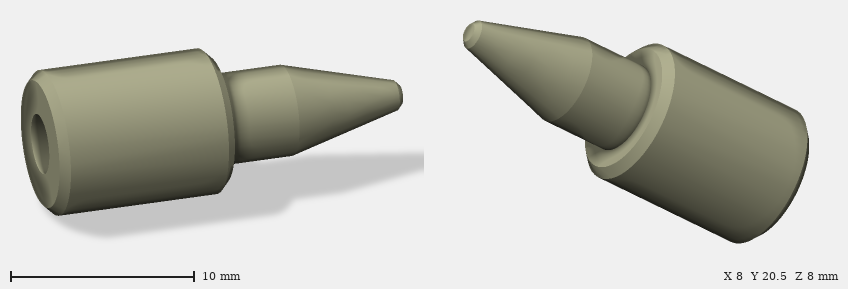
import cadquery as cq
import math

total_length = 20.53
head_diameter = 8.0
head_length = 10.0
head_chamfer = 0.5
shank_diameter = 5.0
shank_length = 4.0
taper_half_angle = 15.0
tip_length = 0.29
tip_flat_diameter = 1.07
hole_diameter = 3.3
hole_depth = 8.0
drill_point_angle = 118.0

head_radius = head_diameter / 2
shank_radius = shank_diameter / 2
hole_radius = hole_diameter / 2
shank_end = head_length + shank_length
taper_end = total_length - tip_length
taper_end_radius = shank_radius - (taper_end - shank_end) * math.tan(math.radians(taper_half_angle))
drill_point_length = hole_radius / math.tan(math.radians(drill_point_angle / 2))


def revolve_about_y(profile):
    return profile.close().revolve(360, (0, 0, 0), (0, 1, 0))


body = revolve_about_y(
    cq.Workplane("XY")
    .lineTo(head_radius - head_chamfer, 0)
    .lineTo(head_radius, head_chamfer)
    .lineTo(head_radius, head_length - head_chamfer)
    .lineTo(head_radius - head_chamfer, head_length)
    .lineTo(shank_radius, head_length)
    .lineTo(shank_radius, shank_end)
    .lineTo(taper_end_radius, taper_end)
    .lineTo(tip_flat_diameter / 2, total_length)
    .lineTo(0, total_length)
)

hole = revolve_about_y(
    cq.Workplane("XY")
    .lineTo(hole_radius, 0)
    .lineTo(hole_radius, hole_depth)
    .lineTo(0, hole_depth + drill_point_length)
)

result = body.cut(hole)